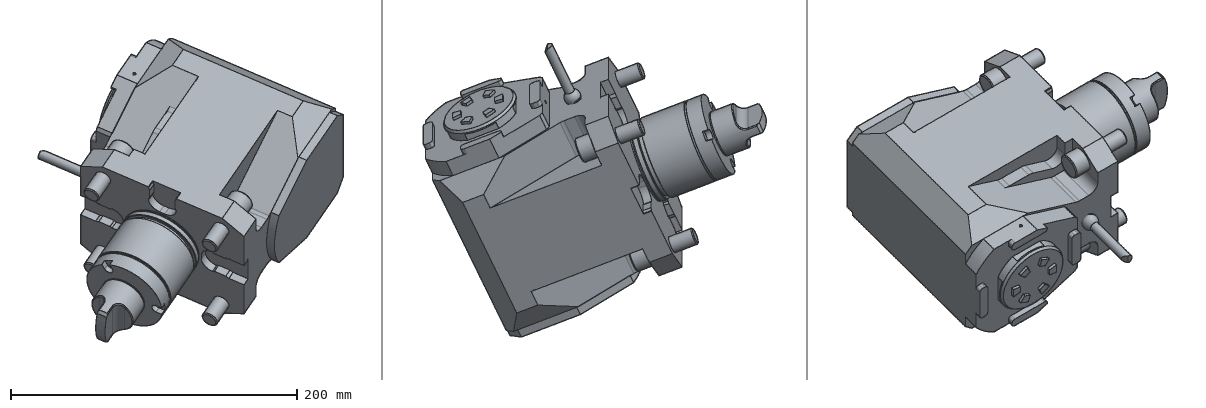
import math

import cadquery as cq

housing_half_width = 65.0
housing_half_height = 54.0
housing_length = 134.0
side_chamfer_height = 10.0
side_chamfer_width = side_chamfer_height / math.tan(math.radians(30))
back_chamfer = 15.5

slope = math.tan(math.radians(23))
slope_top_y = 102.5
mount_flange_thickness = 17.6
pocket_floor_z = 25.5
pocket_inner_x = 36.0
pocket_fillet = 8.0

step_inner_x = 27.0
step_z = 42.4
step_end_y = 54.2
step_wall_y = 24.4
step_bend_radius = 10.0

slot_depth = 6.1
slot_half_width = 11.0
slot_neck_half_width = 10.0
slot_inner_radius = 31.0
slot_corner_radius = 9.0
slot_neck_start = 41.5
slot_neck_end = 50.5
slot_flare_end = 53.0

select_margin = 0.5
cut_margin = 5.0

screw_x = 47.0
screw_z = 42.0
screw_diameter = 12.0
screw_head_diameter = 18.0
screw_head_height = 12.0
screw_tip_y = -17.8
screw_chamfer = 0.8

cross_axis_y = 90.0
side_half_height = 44.0

cover_thickness = 6.3
cover_front_radius = 57.0
cover_slope_top_y = 80.3
cover_corner_z = 26.8
cover_back_chamfer = 8.8

plate_thickness = 12.2
plate_slope_top_y = 83.3
plate_front_y = 45.0
plate_corner_y = 47.0
plate_corner_z = 26.0
plate_back_radius = 52.3
plate_hole_diameter = 2.1
plate_hole_depth = 6.0
plate_hole_offset = 6.2

key_inner_distance = 37.0
key_placements = [
    (0, side_half_height),
    (90, cross_axis_y - plate_front_y),
    (180, side_half_height),
    (270, housing_length - cross_axis_y),
]
key_length = 31.0
key_height = 4.2
key_fillet = 2.5

disc_flat_length = 5.2
disc_flat_distance = 24.8
disc_rim_thickness = 2.9
disc_diameter = 55.0
disc_chamfer_radial = 1.3
disc_chamfer_axial = 1.9
peg_count = 6
peg_height = 2.1
peg_inner_radius = 12.9
peg_outer_radius = 18.9
peg_inner_width = 5.4
peg_outer_width = 7.8

tube_y = 26.2
tube_diameter = 7.0
tube_end_x = -111.2
tube_bevel = 3.5
ball_diameter = 12.0
ball_x = -67.5

shank_diameter = 59.9
relief_diameter = 58.8
relief_end_y = -1.0
collar_chamfer = 0.5
seal_groove_diameter = 55.2
seal_groove_start_y = -5.8
seal_groove_end_y = -9.0
ring_groove_diameter = 58.4
ring_groove_start_y = -42.4
ring_groove_end_y = -43.8
ring_diameter = 59.8
ring_end_y = -55.5
neck_relief = 0.4
neck_relief_width = 1.0

notch_count = 3
notch_width = 7.0
notch_center_radius = 25.3
notch_depth = 4.2

drive_diameter = 33.0
drive_shoulder_y = -73.5
drive_shoulder_chamfer = 0.7
tang_half_thickness = 3.75
tang_root_radius = 6.3
tang_tip_y = -90.8
tang_tip_arc_radius = 45.6
tang_tip_chamfer = 2.0


def housing_blank():
    half_top = housing_half_width - side_chamfer_width
    side_z = housing_half_height - side_chamfer_height
    right_half = [
        (half_top, housing_half_height),
        (housing_half_width, side_z),
        (housing_half_width, -side_z),
        (half_top, -housing_half_height),
    ]
    left_half = [(-x, z) for x, z in reversed(right_half)]
    prism = cq.Workplane("XZ").polyline(right_half + left_half).close().extrude(-housing_length)
    back_edges = prism.faces(">Y").edges("<Z or >Z")
    return back_edges.chamfer(back_chamfer)


def yz_prism(outline, x_from, x_to):
    """Extrude a closed (y, z) outline between two X positions."""
    return cq.Workplane("YZ", origin=(x_from, 0, 0)).polyline(outline).close().extrude(x_to - x_from)


def both_heights(solid):
    return solid.union(solid.mirror("XY"))


def slope_y(z):
    """Y of the pocket slope at height z."""
    return slope_top_y - (housing_half_height - z) / slope


def side_pocket(x_from, x_to):
    clear_z = housing_half_height + cut_margin
    outline = [
        (slope_y(clear_z), clear_z),
        (slope_y(pocket_floor_z), pocket_floor_z),
        (mount_flange_thickness, pocket_floor_z),
        (mount_flange_thickness, clear_z),
    ]
    return yz_prism(outline, x_from, x_to).edges("|X and <Z").fillet(pocket_fillet)


def step_pocket():
    clear_z = housing_half_height + cut_margin
    wall_bottom_z = step_z - (step_end_y - step_wall_y) * slope
    outline = [
        (slope_y(clear_z), clear_z),
        (slope_y(step_z), step_z),
        (step_end_y, step_z),
        (step_wall_y, wall_bottom_z),
        (step_wall_y, clear_z),
    ]
    pocket = yz_prism(outline, -pocket_inner_x, -step_inner_x)
    pocket = pocket.edges("|X and <Z").fillet(pocket_fillet)
    bends = cq.selectors.BoxSelector(
        (-pocket_inner_x, step_end_y - select_margin, step_z - select_margin),
        (-step_inner_x, slope_y(step_z) + select_margin, step_z + select_margin),
    )
    return pocket.edges("|X").edges(bends).fillet(step_bend_radius)


def face_slot():
    """Slot in the mounting face pointing to +Z."""
    corner_x = slot_half_width - slot_corner_radius
    corner_z = slot_inner_radius + slot_corner_radius
    arc_reach = slot_corner_radius * math.sqrt(0.5)
    clear_z = housing_half_width + cut_margin
    return (
        cq.Workplane("XZ")
        .moveTo(-corner_x, slot_inner_radius)
        .lineTo(corner_x, slot_inner_radius)
        .threePointArc((corner_x + arc_reach, corner_z - arc_reach), (slot_half_width, corner_z))
        .lineTo(slot_neck_half_width, slot_neck_start)
        .lineTo(slot_neck_half_width, slot_neck_end)
        .lineTo(slot_half_width, slot_flare_end)
        .lineTo(slot_half_width, clear_z)
        .lineTo(-slot_half_width, clear_z)
        .lineTo(-slot_half_width, slot_flare_end)
        .lineTo(-slot_neck_half_width, slot_neck_end)
        .lineTo(-slot_neck_half_width, slot_neck_start)
        .lineTo(-slot_half_width, corner_z)
        .threePointArc((-corner_x - arc_reach, corner_z - arc_reach), (-corner_x, slot_inner_radius))
        .close()
        .extrude(-slot_depth)
    )


def housing():
    outer_x = housing_half_width + cut_margin
    body = housing_blank()
    body = body.cut(both_heights(side_pocket(-outer_x, -pocket_inner_x)))
    body = body.cut(both_heights(side_pocket(pocket_inner_x, outer_x)))
    body = body.cut(step_pocket())
    for quarter in range(4):
        body = body.cut(face_slot().rotate((0, 0, 0), (0, 1, 0), 90 * quarter))
    return body


def along_y(radius, y_from, y_to):
    return cq.Workplane("XZ", origin=(0, y_from, 0)).circle(radius).extrude(y_from - y_to)


def clamping_screw():
    head_top_y = mount_flange_thickness + screw_head_height
    head = along_y(screw_head_diameter / 2, head_top_y, mount_flange_thickness)
    head = head.faces(">Y").chamfer(screw_chamfer)
    stem = along_y(screw_diameter / 2, mount_flange_thickness, screw_tip_y)
    return head.union(stem.faces("<Y").chamfer(screw_chamfer))


def right_cover():
    corner_reach = math.sqrt(cover_front_radius**2 - cover_corner_z**2)
    corner_y = cross_axis_y - corner_reach
    back_corner_y = housing_length - cover_back_chamfer
    back_corner_z = side_half_height - cover_back_chamfer
    return (
        cq.Workplane("YZ", origin=(housing_half_width, 0, 0))
        .moveTo(corner_y, -cover_corner_z)
        .threePointArc((cross_axis_y - cover_front_radius, 0), (corner_y, cover_corner_z))
        .lineTo(cover_slope_top_y, side_half_height)
        .lineTo(back_corner_y, side_half_height)
        .lineTo(housing_length, back_corner_z)
        .lineTo(housing_length, -back_corner_z)
        .lineTo(back_corner_y, -side_half_height)
        .lineTo(cover_slope_top_y, -side_half_height)
        .close()
        .extrude(cover_thickness)
    )


def left_plate_prism(thickness):
    """Outline of the left plate extruded outward (-X) from the housing side."""
    slope_end_z = side_half_height - (plate_slope_top_y - plate_corner_y) * slope
    arc_top_y = cross_axis_y + math.sqrt(plate_back_radius**2 - side_half_height**2)
    arc_mid = plate_back_radius * math.sqrt(0.5)
    back_z = math.sqrt(plate_back_radius**2 - (housing_length - cross_axis_y) ** 2)
    return (
        cq.Workplane("YZ", origin=(-housing_half_width, 0, 0))
        .moveTo(plate_front_y, -plate_corner_z)
        .lineTo(plate_front_y, plate_corner_z)
        .lineTo(plate_corner_y, slope_end_z)
        .lineTo(plate_slope_top_y, side_half_height)
        .lineTo(arc_top_y, side_half_height)
        .threePointArc((cross_axis_y + arc_mid, arc_mid), (housing_length, back_z))
        .lineTo(housing_length, -back_z)
        .threePointArc((cross_axis_y + arc_mid, -arc_mid), (arc_top_y, -side_half_height))
        .lineTo(plate_slope_top_y, -side_half_height)
        .lineTo(plate_corner_y, -slope_end_z)
        .close()
        .extrude(-thickness)
    )


def about_cross_axis(solid, angle):
    return solid.rotate((0, cross_axis_y, 0), (1, cross_axis_y, 0), angle)


def plate_key(outer_distance):
    """Key pad on the +Z side of the cross axis, reaching out to outer_distance."""
    key_x = -housing_half_width - plate_thickness - key_height
    pad_width = outer_distance - key_inner_distance
    return (
        cq.Workplane("XY", origin=(key_x, cross_axis_y, key_inner_distance))
        .box(key_height, key_length, pad_width, centered=(False, True, False))
        .edges("|X")
        .fillet(key_fillet)
    )


def left_plate():
    plate = left_plate_prism(plate_thickness)
    envelope = left_plate_prism(plate_thickness + key_height)
    for angle, outer_distance in key_placements:
        key = plate_key(outer_distance)
        plate = plate.union(about_cross_axis(key, angle).intersect(envelope))
    hole_x = -housing_half_width - plate_hole_offset
    top_hole = (
        cq.Workplane("XY", origin=(hole_x, cross_axis_y, side_half_height))
        .circle(plate_hole_diameter / 2)
        .extrude(-plate_hole_depth)
    )
    front_hole = along_y(plate_hole_diameter / 2, plate_front_y + plate_hole_depth, plate_front_y)
    front_hole = front_hole.translate((hole_x, 0, 0))
    return plate.cut(top_hole).cut(front_hole)


def drive_disc():
    plate_x = -housing_half_width - plate_thickness
    shoulder_x = plate_x - disc_flat_length
    face_x = shoulder_x - disc_rim_thickness
    disc_radius = disc_diameter / 2
    disc = (
        cq.Workplane("XY", origin=(0, cross_axis_y, 0))
        .moveTo(plate_x, 0)
        .lineTo(plate_x, disc_radius)
        .lineTo(face_x + disc_chamfer_axial, disc_radius)
        .lineTo(face_x, disc_radius - disc_chamfer_radial)
        .lineTo(face_x, 0)
        .close()
        .revolve(360, (0, 0, 0), (1, 0, 0))
    )
    outside_flats = (
        cq.Workplane("YZ", origin=(plate_x, cross_axis_y, 0))
        .rect(2 * disc_diameter, 2 * disc_diameter)
        .rect(2 * disc_flat_distance, 2 * disc_flat_distance)
        .extrude(-disc_flat_length)
    )
    drive = disc.cut(outside_flats)
    peg = (
        cq.Workplane("YZ", origin=(face_x, cross_axis_y, 0))
        .moveTo(peg_inner_radius, -peg_inner_width / 2)
        .lineTo(peg_outer_radius, -peg_outer_width / 2)
        .lineTo(peg_outer_radius, peg_outer_width / 2)
        .lineTo(peg_inner_radius, peg_inner_width / 2)
        .close()
        .extrude(-peg_height)
    )
    for index in range(peg_count):
        drive = drive.union(about_cross_axis(peg, index * 360 / peg_count))
    return drive


def coolant_tube():
    ball = cq.Workplane("XY").sphere(ball_diameter / 2).translate((ball_x, tube_y, 0))
    tube_radius = tube_diameter / 2
    tube = cq.Workplane("YZ", origin=(ball_x, tube_y, 0)).circle(tube_radius).extrude(tube_end_x - ball_x)
    bevel = (
        cq.Workplane("XY", origin=(tube_end_x, tube_y, -tube_radius))
        .polyline([(0, 0), (tube_bevel, tube_bevel), (0, tube_bevel)])
        .close()
        .extrude(tube_diameter)
    )
    return ball.union(tube.cut(bevel))


def spindle_body():
    shank = shank_diameter / 2
    relief = relief_diameter / 2
    seal = seal_groove_diameter / 2
    ring_groove = ring_groove_diameter / 2
    ring = ring_diameter / 2
    profile = [
        (0, mount_flange_thickness),
        (relief, mount_flange_thickness),
        (relief, relief_end_y),
        (shank - collar_chamfer, relief_end_y),
        (shank, relief_end_y - 2 * collar_chamfer),
        (shank, seal_groove_start_y + collar_chamfer),
        (shank - collar_chamfer, seal_groove_start_y),
        (seal, seal_groove_start_y),
        (seal, seal_groove_end_y),
        (shank, seal_groove_end_y),
        (shank, ring_groove_start_y),
        (ring_groove, ring_groove_start_y),
        (ring_groove, ring_groove_end_y),
        (ring, ring_groove_end_y),
        (ring, ring_end_y),
        (0, ring_end_y),
    ]
    body = cq.Workplane("XY").polyline(profile).close().revolve(360, (0, 0, 0), (0, 1, 0))
    notch_start = cq.Workplane("XZ", origin=(0, ring_end_y + notch_depth, 0))
    round_end = notch_start.center(notch_center_radius, 0).circle(notch_width / 2).extrude(notch_depth)
    channel = (
        notch_start.center(notch_center_radius + notch_width / 2, 0)
        .rect(notch_width, notch_width)
        .extrude(notch_depth)
    )
    notch = round_end.union(channel)
    for index in range(notch_count):
        body = body.cut(notch.rotate((0, 0, 0), (0, 1, 0), index * 360 / notch_count))
    return body


def drive_tang():
    radius = drive_diameter / 2
    neck_end_y = ring_end_y - neck_relief_width
    neck = along_y(radius - neck_relief, ring_end_y, neck_end_y)

    rim = radius - tang_tip_chamfer
    crown = tang_tip_arc_radius - math.sqrt(tang_tip_arc_radius**2 - rim**2)
    half_crown = tang_tip_arc_radius - math.sqrt(tang_tip_arc_radius**2 - (rim / 2) ** 2)
    blank = (
        cq.Workplane("XY")
        .moveTo(0, neck_end_y)
        .lineTo(radius, neck_end_y)
        .lineTo(radius, tang_tip_y + crown + tang_tip_chamfer)
        .lineTo(rim, tang_tip_y + crown)
        .threePointArc((rim / 2, tang_tip_y + half_crown), (0, tang_tip_y))
        .close()
        .revolve(360, (0, 0, 0), (0, 1, 0))
    )

    root_x = tang_half_thickness + tang_root_radius
    root_y = drive_shoulder_y - tang_root_radius
    arc_reach = tang_root_radius * math.sqrt(0.5)
    side_cut = (
        cq.Workplane("XY", origin=(0, 0, -drive_diameter))
        .moveTo(drive_diameter, drive_shoulder_y)
        .lineTo(root_x, drive_shoulder_y)
        .threePointArc((root_x - arc_reach, root_y + arc_reach), (tang_half_thickness, root_y))
        .lineTo(tang_half_thickness, tang_tip_y - cut_margin)
        .lineTo(drive_diameter, tang_tip_y - cut_margin)
        .close()
        .extrude(2 * drive_diameter)
    )
    tang = blank.cut(side_cut).cut(side_cut.mirror("YZ"))
    shoulders = cq.selectors.BoxSelector(
        (-radius, drive_shoulder_y - select_margin, -radius),
        (radius, drive_shoulder_y + select_margin, radius),
    )
    shoulder_rims = tang.faces(shoulders).edges("%CIRCLE")
    tang = shoulder_rims.chamfer(drive_shoulder_chamfer)
    return neck.union(tang)


result = housing()
for x in (-screw_x, screw_x):
    for z in (-screw_z, screw_z):
        result = result.union(clamping_screw().translate((x, 0, z)))
for part in (right_cover(), left_plate(), drive_disc(), coolant_tube(), spindle_body(), drive_tang()):
    result = result.union(part)